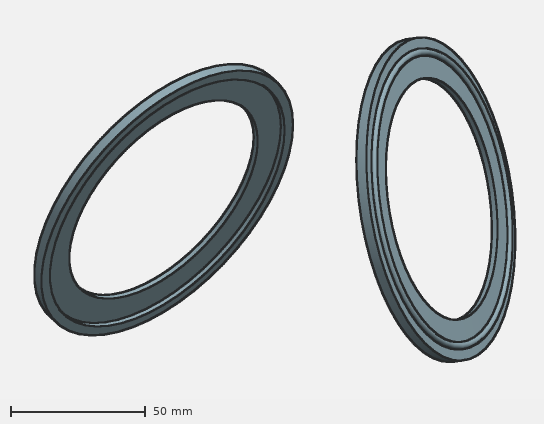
import cadquery as cq

outer_radius = 60.5
bore_radius = 45.3
overall_thickness = 5.8
rim_thickness = 4.2
bead_outer_radius = 56.4
bead_inner_radius = 53.6
bead_step = 0.18
bore_edge_rise = 0.4
recess_depth = 2.2

bead_tip_x = -overall_thickness / 2
back_x = overall_thickness / 2
rim_face_x = back_x - rim_thickness
bead_foot_x = rim_face_x - bead_step
bore_edge_x = rim_face_x - bore_edge_rise
recess_floor_x = back_x - recess_depth

recess_radius = bead_outer_radius
bead_middle_radius = (bead_outer_radius + bead_inner_radius) / 2

section = (
    cq.Workplane("XY")
    .moveTo(back_x, outer_radius)
    .lineTo(rim_face_x, outer_radius)
    .lineTo(rim_face_x, bead_outer_radius)
    .lineTo(bead_foot_x, bead_outer_radius)
    .threePointArc((bead_tip_x, bead_middle_radius), (bead_foot_x, bead_inner_radius))
    .lineTo(bore_edge_x, bore_radius)
    .lineTo(recess_floor_x, bore_radius)
    .lineTo(recess_floor_x, recess_radius)
    .lineTo(back_x, recess_radius)
    .close()
)

result = section.revolve(360, (0, 0, 0), (1, 0, 0))